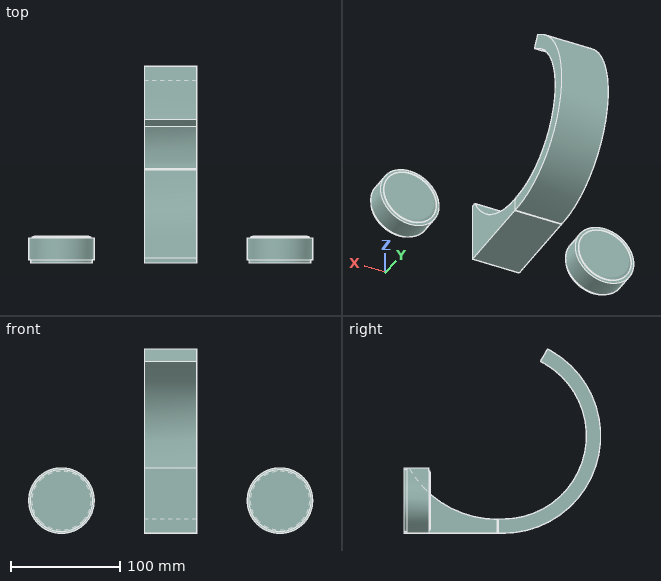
import cadquery as cq
import math

hook_width = 48.0
arm_outer_radius = 89.3
arm_thickness = 13.3
arm_sweep_above_centre = 60.0
arm_straight_end = 4.7
joint_gap = 0.8
foot_length = 85.5
foot_height = 60.0
foot_lip = 4.7
foot_joint_height = 13.0

puck_radius = 30.1
puck_spacing = 200.0
pad_radius = 28.4
pad_thickness = 3.0
body_length = 20.0
back_radius = 27.0
back_thickness = 1.6
back_bevel_depth = 0.7
back_bevel_width = 2.4


def extrude_profile(profile):
    """Extrude a Y-Z outline symmetrically across the hook width."""
    return profile.close().extrude(hook_width / 2, both=True)


def make_arm():
    """C-shaped strip whose two ends run on straight and tangent to the curve."""
    inner_radius = arm_outer_radius - arm_thickness
    joint_y = foot_length + joint_gap
    centre_y = joint_y + arm_straight_end
    centre_z = arm_outer_radius
    end_angle = math.radians(arm_sweep_above_centre)
    middle_angle = (end_angle - math.pi / 2) / 2

    def on_arm(radius, angle, straight=0.0):
        return (
            centre_y + radius * math.cos(angle) - straight * math.sin(angle),
            centre_z + radius * math.sin(angle) + straight * math.cos(angle),
        )

    return extrude_profile(
        cq.Workplane("YZ")
        .moveTo(joint_y, 0)
        .lineTo(centre_y, 0)
        .threePointArc(on_arm(arm_outer_radius, middle_angle), on_arm(arm_outer_radius, end_angle))
        .lineTo(*on_arm(arm_outer_radius, end_angle, arm_straight_end))
        .lineTo(*on_arm(inner_radius, end_angle, arm_straight_end))
        .lineTo(*on_arm(inner_radius, end_angle))
        .threePointArc(on_arm(inner_radius, middle_angle), (centre_y, arm_thickness))
        .lineTo(joint_y, arm_thickness)
    )


def make_foot():
    """Flat-fronted foot whose top sweeps down, level where it meets the arm."""
    run = foot_length - foot_lip
    rise = foot_height - foot_joint_height
    sweep_radius = (run**2 + rise**2) / (2 * rise)
    half_angle = math.asin(run / sweep_radius) / 2
    sweep_middle = (
        foot_length - sweep_radius * math.sin(half_angle),
        foot_joint_height + sweep_radius * (1 - math.cos(half_angle)),
    )
    return extrude_profile(
        cq.Workplane("YZ")
        .moveTo(0, 0)
        .lineTo(foot_length, 0)
        .lineTo(foot_length, foot_joint_height)
        .threePointArc(sweep_middle, (foot_lip, foot_height))
        .lineTo(0, foot_height)
    )


def disc(centre_x, front_y, radius, length):
    """Round disc on a puck axis, running back along +Y from front_y."""
    plane = cq.Plane(origin=(centre_x, front_y, foot_height / 2), xDir=(1, 0, 0), normal=(0, 1, 0))
    return cq.Workplane(plane).circle(radius).extrude(length)


def make_puck_pad(centre_x):
    return disc(centre_x, 0, pad_radius, pad_thickness)


def make_puck_body(centre_x):
    return disc(centre_x, pad_thickness, puck_radius, body_length)


def make_puck_back(centre_x):
    """Back plate with a shallow bevel around its rear edge, revolved about the puck axis."""
    front_y = pad_thickness + body_length
    rear_y = front_y + back_thickness
    return (
        cq.Workplane("XY", origin=(centre_x, 0, foot_height / 2))
        .moveTo(0, front_y)
        .lineTo(back_radius, front_y)
        .lineTo(back_radius, rear_y - back_bevel_depth)
        .lineTo(back_radius - back_bevel_width, rear_y)
        .lineTo(0, rear_y)
        .close()
        .revolve(360, (0, 0, 0), (0, 1, 0))
    )


bodies = [make_arm().val(), make_foot().val()]
for side in (-1, 1):
    centre_x = side * puck_spacing / 2
    bodies.append(make_puck_pad(centre_x).val())
    bodies.append(make_puck_body(centre_x).val())
    bodies.append(make_puck_back(centre_x).val())

result = cq.Compound.makeCompound(bodies)